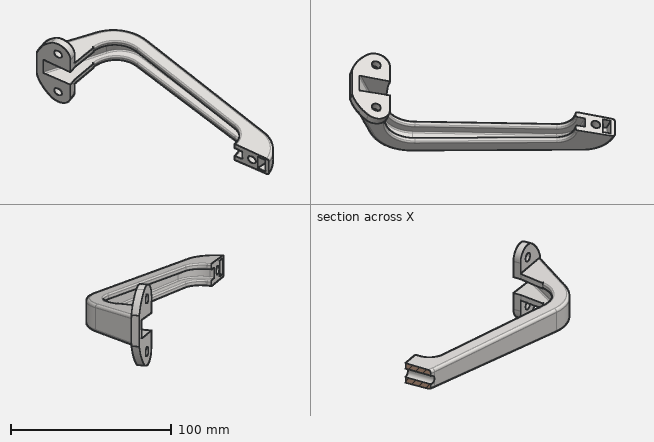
import cadquery as cq
import math

LENGTH = 170.24
HEIGHT = 47.94

PLATE_THICKNESS = 5.2
PLATE_HEIGHT = 51.99
PLATE_END_RADIUS = 9.0
PLATE_FLAT_HALF = 10.0
PLATE_ARC_ANGLE = 126.0
PLATE_HOLE_X = 15.65
SCREW_DIAMETER = 5.7

LEG_ANGLE = 55.0
BAR_ANGLE = 15.0
BEND_RADIUS = 28.0
BAR_THICKNESS = 10.0
INNER_BEND_RADIUS = 18.6
LEG_INNER_TOP = (27.7, 23.0)
FOOT_INNER_X = 144.8
FOOT_INNER_RADIUS = 11.6
SHOULDER_START_X = 155.0
SHOULDER_MID = (163.9, 14.2)

BASE_HALF_WIDTH = 9.95
TAPER_ANGLE = 1.305
TAPER_DIRECTION = 38.0
TAPER_REACH = 200.0

SIDE_WALL = 3.9
BAR_WEB = 4.0
CHANNEL_START_X = 4.6
CHANNEL_BEND_RADIUS = 20.2

FOOT_HOLE_X = 157.7
POCKET_X_MIN = 162.1
POCKET_X_MAX = 167.5
POCKET_LEFT_DRAFT = 2.1
POCKET_RIGHT_DRAFT = 0.9
POCKET_SIDE_DRAFT = 0.7
POCKET_STRAIGHT_DEPTH = 6.0
POCKET_CROWN = 0.8
POCKET_HALF_WIDTH = 5.1

OUTER_FILLET = 2.0
LIP_FILLET = 1.0
CHANNEL_FILLET = 0.8
TOLERANCE = 0.01

PLATE_RIGHT = PLATE_HOLE_X + PLATE_END_RADIUS
PLATE_HOLE_Z = PLATE_HEIGHT / 2 - PLATE_END_RADIUS


def polar(center, radius, degrees):
    """Point at the given radius and direction from a centre."""
    angle = math.radians(degrees)
    return (center[0] + radius * math.cos(angle), center[1] + radius * math.sin(angle))


BAR_NORMAL = 90.0 - BAR_ANGLE
LEG_NORMAL = 90.0 + LEG_ANGLE
bar_slope = math.radians(BAR_ANGLE)
leg_slope = math.radians(LEG_ANGLE)

bend_center_y = HEIGHT - BEND_RADIUS
bend_start_y = polar((0, bend_center_y), BEND_RADIUS, LEG_NORMAL)[1]
bend_start_x = (bend_start_y - PLATE_THICKNESS) / math.tan(leg_slope)
bend_start = (bend_start_x, bend_start_y)
bend_center = polar(bend_start, BEND_RADIUS, LEG_NORMAL - 180)
bend_end = polar(bend_center, BEND_RADIUS, BAR_NORMAL)


def below_bar(x, depth):
    """Point at X on the line parallel to the outer bar face, a given depth under it."""
    base = polar(bend_end, -depth, BAR_NORMAL)
    return (x, base[1] - (x - base[0]) * math.tan(bar_slope))


def foot_arc(x_end, radius, depth):
    """Start, middle and end of an arc from a bar-parallel line to a vertical line at x_end."""
    start_x = x_end - radius + radius * math.sin(bar_slope)
    start = below_bar(start_x, depth)
    center = polar(start, -radius, BAR_NORMAL)
    return start, polar(center, radius, BAR_NORMAL / 2), polar(center, radius, 0)


def outer_path():
    """Outer face of leg, bend, bar and foot, drawn from the flange to the foot tip."""
    return (
        cq.Workplane("XY")
        .moveTo(0, PLATE_THICKNESS)
        .lineTo(*bend_start)
        .threePointArc(polar(bend_center, BEND_RADIUS, (LEG_NORMAL + BAR_NORMAL) / 2), bend_end)
        .lineTo(*below_bar(SHOULDER_START_X, 0))
        .tangentArcPoint(SHOULDER_MID, relative=False)
        .tangentArcPoint((LENGTH, 0), relative=False)
    )


foot_start, foot_mid, foot_end = foot_arc(FOOT_INNER_X, FOOT_INNER_RADIUS, BAR_THICKNESS)
center_line_y = below_bar(LEG_INNER_TOP[0], BAR_THICKNESS)[1]
leg_drop = (center_line_y - LEG_INNER_TOP[1]) * math.cos(bar_slope)
along_bar = math.sqrt(INNER_BEND_RADIUS ** 2 - (INNER_BEND_RADIUS - leg_drop) ** 2)
abreast = polar(LEG_INNER_TOP, along_bar, -BAR_ANGLE)
inner_bend_center = polar(abreast, leg_drop - INNER_BEND_RADIUS, BAR_NORMAL)
inner_bend_start = polar(inner_bend_center, INNER_BEND_RADIUS, BAR_NORMAL)
leg_top_direction = math.degrees(
    math.atan2(LEG_INNER_TOP[1] - inner_bend_center[1], LEG_INNER_TOP[0] - inner_bend_center[0])
)
inner_bend_mid = polar(inner_bend_center, INNER_BEND_RADIUS, (BAR_NORMAL + leg_top_direction) / 2)


def add_inner_path(path):
    """Append the inner foot arc, bar face and bend to a path standing at the foot."""
    return (
        path.lineTo(*foot_end)
        .threePointArc(foot_mid, foot_start)
        .lineTo(*inner_bend_start)
        .threePointArc(inner_bend_mid, LEG_INNER_TOP)
    )


def tapered_envelope(inset):
    """Wedge between the two tapered side faces, each moved inwards by inset."""
    slope = math.tan(math.radians(TAPER_ANGLE))
    half = BASE_HALF_WIDTH - inset
    near = half + TAPER_REACH * slope
    far = half - TAPER_REACH * slope
    corners = [(-TAPER_REACH, -near), (TAPER_REACH, -far), (TAPER_REACH, far), (-TAPER_REACH, near)]
    return (
        cq.Workplane("XZ")
        .polyline(corners)
        .close()
        .extrude(TAPER_REACH, both=True)
        .rotate((0, 0, 0), (0, 0, 1), TAPER_DIRECTION)
    )


def edges_along(body, path):
    """Edges of the body that run over a path drawn in the XY plane."""
    guide = path.wire().val()

    def lies_on_path(edge):
        points = [edge.positionAt(t) for t in (0, 0.5, 1)]
        spots = [cq.Vertex.makeVertex(p.x, p.y, 0) for p in points]
        runs_lengthwise = (points[0] - points[2]).Length > abs(points[0].z - points[2].z) + TOLERANCE
        return runs_lengthwise and all(guide.distance(s) < TOLERANCE for s in spots)

    return body.edges().filter(lies_on_path)


def make_profile():
    """Closed side profile of leg, bar and foot."""
    path = add_inner_path(outer_path().lineTo(FOOT_INNER_X, 0))
    return path.lineTo(PLATE_RIGHT, PLATE_THICKNESS).close()


def make_handle():
    """Leg, bar and foot with tapered sides and rounded outer edges."""
    handle = make_profile().extrude(BASE_HALF_WIDTH, both=True).intersect(tapered_envelope(0))
    return edges_along(handle, outer_path()).fillet(OUTER_FILLET)


def make_plate():
    """Mounting flange standing in the XZ plane."""
    top_center = (PLATE_HOLE_X, PLATE_HOLE_Z)
    arc_end = polar(top_center, PLATE_END_RADIUS, PLATE_ARC_ANGLE)
    half = (
        cq.Workplane("XZ")
        .lineTo(PLATE_RIGHT, 0)
        .lineTo(PLATE_RIGHT, PLATE_HOLE_Z)
        .threePointArc(polar(top_center, PLATE_END_RADIUS, PLATE_ARC_ANGLE / 2), arc_end)
        .tangentArcPoint((0, PLATE_FLAT_HALF), relative=False)
        .close()
        .extrude(-PLATE_THICKNESS)
    )
    return half.union(half.mirror("XY"))


def make_channel():
    """Tapered channel that hollows the leg, the bar and part of the foot from the inner side."""
    depth = BAR_THICKNESS - BAR_WEB
    arc_start, arc_mid, arc_end = foot_arc(FOOT_INNER_X + depth, FOOT_INNER_RADIUS + depth, BAR_WEB)
    bar_y = below_bar(0, BAR_WEB)[1]
    rise = math.tan(leg_slope)
    corner_x = (bar_y + CHANNEL_START_X * rise) / (rise + math.tan(bar_slope))
    corner = below_bar(corner_x, BAR_WEB)
    setback = CHANNEL_BEND_RADIUS * math.tan((leg_slope + bar_slope) / 2)
    arc_from = polar(corner, -setback, LEG_ANGLE)
    arc_to = polar(corner, setback, -BAR_ANGLE)
    floor_path = (
        cq.Workplane("XY")
        .moveTo(CHANNEL_START_X, 0)
        .lineTo(*arc_from)
        .tangentArcPoint(arc_to, relative=False)
        .lineTo(*arc_start)
        .threePointArc(arc_mid, arc_end)
        .lineTo(arc_end[0], 0)
    )
    solid = floor_path.close().extrude(BASE_HALF_WIDTH, both=True).intersect(tapered_envelope(SIDE_WALL))
    return solid.edges("not |Z").filter(lambda edge: edge.Center().y > TOLERANCE).fillet(CHANNEL_FILLET)


def drill(x, z):
    """Screw hole through the whole part along Y."""
    return cq.Workplane("XZ").center(x, z).circle(SCREW_DIAMETER / 2).extrude(-HEIGHT)


def make_pocket():
    """Blind pocket in the foot with leaning walls and a rounded floor."""
    left_top = POCKET_X_MIN + POCKET_LEFT_DRAFT
    right_top = POCKET_X_MAX - POCKET_RIGHT_DRAFT
    crown = ((left_top + right_top) / 2, POCKET_STRAIGHT_DEPTH + POCKET_CROWN)
    lengthwise = (
        cq.Workplane("XY")
        .moveTo(POCKET_X_MIN, 0)
        .lineTo(left_top, POCKET_STRAIGHT_DEPTH)
        .threePointArc(crown, (right_top, POCKET_STRAIGHT_DEPTH))
        .lineTo(POCKET_X_MAX, 0)
        .close()
        .extrude(POCKET_HALF_WIDTH, both=True)
    )
    floor_half = POCKET_HALF_WIDTH - POCKET_SIDE_DRAFT
    depth = crown[1]
    corners = [(0, -POCKET_HALF_WIDTH), (depth, -floor_half), (depth, floor_half), (0, POCKET_HALF_WIDTH)]
    crosswise = cq.Workplane("YZ").polyline(corners).close().extrude(LENGTH)
    return lengthwise.intersect(crosswise)


def make_leg_corners(channel):
    """Square inner corners of the straight leg, where the rounded lip of the bend ends."""
    top_x, top_y = LEG_INNER_TOP
    corner_depth = 2 * LIP_FILLET
    corners = [
        (PLATE_RIGHT, PLATE_THICKNESS),
        (top_x, top_y),
        (top_x - corner_depth, top_y),
        (PLATE_RIGHT - corner_depth, PLATE_THICKNESS),
    ]
    strip = cq.Workplane("XY").polyline(corners).close().extrude(BASE_HALF_WIDTH, both=True)
    return strip.intersect(tapered_envelope(0)).cut(channel)


def make_body():
    """Handle on its flange, hollowed by the channel, with rounded lips along bend, bar and foot."""
    channel = make_channel()
    body = make_handle().union(make_plate()).cut(channel)
    inner_path = add_inner_path(cq.Workplane("XY").moveTo(FOOT_INNER_X, 0))
    body = edges_along(body, inner_path).fillet(LIP_FILLET)
    return body.union(make_leg_corners(channel))


result = make_body().cut(make_pocket())
for hole_x, hole_z in [(PLATE_HOLE_X, PLATE_HOLE_Z), (PLATE_HOLE_X, -PLATE_HOLE_Z), (FOOT_HOLE_X, 0)]:
    result = result.cut(drill(hole_x, hole_z))